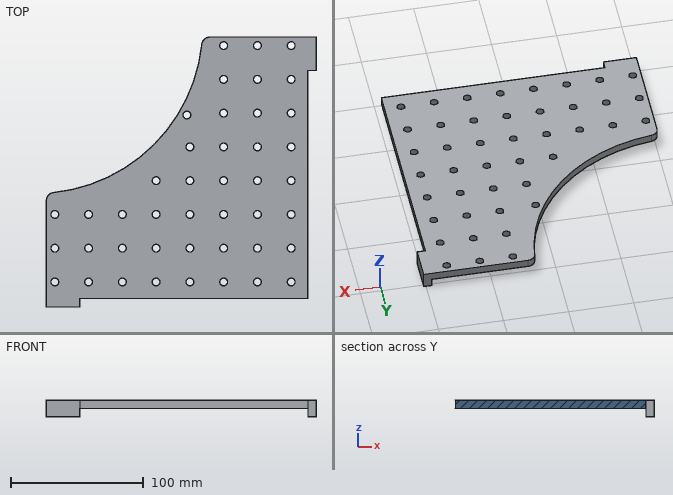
import cadquery as cq
import math

side = 203.5
thickness = 6.3
total_height = 12.6
lip_width = 6.3
lip_length = 25.5
plate_edge = side - lip_width

cutout_radius = 125.4
cutout_offset = 7.5
corner_radius = 6.3

hole_diameter = 5.7
hole_pitch = 25.5
hole_edge_distance = 12.6
grid_count = 8
first_column_in_row = [0, 0, 0, 3, 4, 5, 5, 5]
extra_hole = (106.0, 144.7)


def block(x_min, y_min, length, width, height):
    """Box whose top face lies at the top of the part."""
    return cq.Workplane("XY").box(length, width, height, centered=False).translate(
        (x_min, y_min, total_height - height)
    )


def make_plate():
    """Square plate with a circular bite and rounded bite corners."""
    plate = block(0, lip_width, plate_edge, plate_edge, thickness)
    bite = (
        cq.Workplane("XY")
        .center(-cutout_offset, side + cutout_offset)
        .circle(cutout_radius)
        .extrude(total_height)
    )
    plate = plate.cut(bite)
    reach = math.sqrt(cutout_radius**2 - cutout_offset**2) - cutout_offset
    for x, y in [(0, side - reach), (reach, side)]:
        corner = cq.selectors.NearestToPointSelector((x, y, total_height - thickness / 2))
        plate = plate.edges("|Z").edges(corner).fillet(corner_radius)
    return plate


def hole_positions():
    """Square grid trimmed along the bite, plus one hole off the grid."""
    last_x = plate_edge - hole_edge_distance
    first_x = last_x - (grid_count - 1) * hole_pitch
    first_y = lip_width + hole_edge_distance
    points = [extra_hole]
    for row, first_column in enumerate(first_column_in_row):
        for column in range(first_column, grid_count):
            points.append((first_x + column * hole_pitch, first_y + row * hole_pitch))
    return points


front_lip = block(0, 0, lip_length, lip_width, total_height)
side_lip = block(plate_edge, side - lip_length, lip_width, lip_length, total_height)

holes = (
    cq.Workplane("XY")
    .pushPoints(hole_positions())
    .circle(hole_diameter / 2)
    .extrude(total_height)
)

result = make_plate().union(front_lip).union(side_lip).cut(holes)